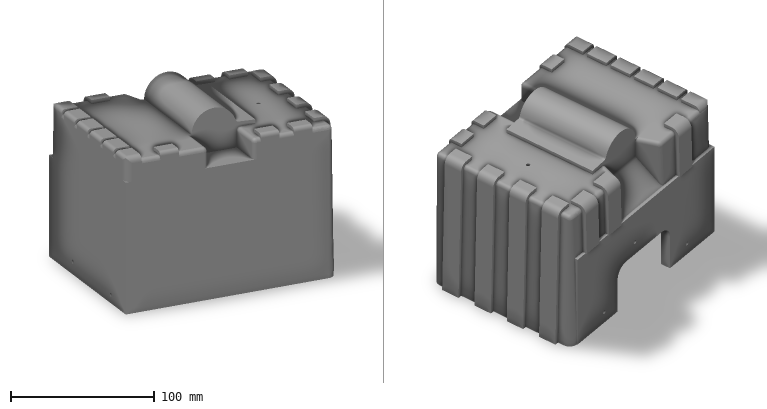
import cadquery as cq
import math

width = 122.38
length = 163.8
barrel_top = 131.74
barrel_radius = 17.5
roof_z = barrel_top - barrel_radius
draft = math.tan(math.radians(1.5))
left_inset = 0.5
front_corner_radius = 5.0
rear_corner_roof_radius = 3.2
roof_radius = 3.0

base_length = 157.2
rear_corner_foot_radius = length - base_length
ledge_z = 76.2
floor_z = 98.9

tab_thickness = 3.0
left_tab_thickness = tab_thickness + left_inset
tab_top = roof_z + tab_thickness
tab_width = 14.4
tab_root = 1.0
left_tab_reach = 13.0
left_tab_ys = (26.8, 108.0, 133.6)
right_tab_reach = 10.9
right_tab_ys = (26.8, 104.8, 130.5)
rear_tab_reach = 12.6
rear_tab_start = 12.2
rear_tab_pitch = 28.35
rear_tab_count = 4
front_strip_depth = 12.4
front_strip_height = 6.7
front_strip_end_radius = 4.6
front_gap_start = 20.1
front_gap_width = 3.6
front_gap_pitch = 20.6
front_gap_count = 5

trough_y = 81.3
barrel_start = 20.6
barrel_end = 96.2
flare = barrel_start * math.tan(math.radians(20))
ramp_top_z = 98.2
ramp_radius = 3.0
plate_end_y = 113.2
plate_end_z = tab_top + 0.2
plate_slope = math.tan(math.radians(3))
plate_fillet = 2.0

wall = 8.0
arch_width = 60.0
arch_height = 38.7
arch_radius = 10.0
screw_hole = 3.0
pin_hole = 2.8
left_holes = ((91.4, 49.6), (126.8, 9.4), (31.5, 9.4))
front_screw = (37.8, 9.5)
front_pin = (98.6, 6.4)
roof_hole = (62.8, 132.0)


def block(x0, x1, y0, y1, z0, z1):
    return cq.Workplane("XY").box(x1 - x0, y1 - y0, z1 - z0, centered=False).translate((x0, y0, z0))


def left_wall_x(z):
    """X of the drafted -X wall at height z."""
    return left_inset + draft * z


def side_profile(points, y0, y1):
    """Prism along Y from an outline of (x, z) points."""
    return cq.Workplane("XZ").polyline(points).close().extrude(y0 - y1).translate((0, y0, 0))


def end_profile(points, x0, x1):
    """Prism along X from an outline of (y, z) points."""
    return cq.Workplane("YZ").polyline(points).close().extrude(x1 - x0).translate((x0, 0, 0))


def round_edge(solid, point, radius):
    """Fillet the edge whose centre is nearest to the point."""
    return solid.edges(cq.selectors.NearestToPointSelector(point)).fillet(radius)


def body_section(z):
    """Plan outline of the body at height z, as one closed wire."""
    left = left_wall_x(z)
    rear = length - draft * z
    front_radius = front_corner_radius
    rear_radius = rear_corner_foot_radius + (rear_corner_roof_radius - rear_corner_foot_radius) * z / roof_z
    outline = cq.Workplane("XY", origin=(0, 0, z)).moveTo(left + front_radius, 0)
    outline = outline.lineTo(width - front_radius, 0).tangentArcPoint((front_radius, front_radius))
    outline = outline.lineTo(width, rear - rear_radius).tangentArcPoint((-rear_radius, rear_radius))
    outline = outline.lineTo(left + rear_radius, rear).tangentArcPoint((-rear_radius, -rear_radius))
    outline = outline.lineTo(left, front_radius).tangentArcPoint((front_radius, -front_radius))
    return outline.close().val()


def drafted_body(height):
    """Body with rounded upright corners and a sharp roof edge."""
    return cq.Workplane(cq.Solid.makeLoft([body_section(0), body_section(height)], True))


def trough_cutter():
    """Full-height passage, straight to +X and flaring towards -X."""
    half_mouth = barrel_radius + flare
    outline = [
        (0, -half_mouth),
        (barrel_start, -barrel_radius),
        (width, -barrel_radius),
        (width, barrel_radius),
        (barrel_start, barrel_radius),
        (0, half_mouth),
    ]
    return cq.Workplane("XY").polyline(outline).close().extrude(roof_z).translate((0, trough_y, 0))


def roof_halves():
    """The two parts of the body beside the trough, with rounded mouth corners and roof edges."""
    halves = drafted_body(roof_z).cut(trough_cutter())
    rounded = cq.Workplane()
    for half in halves.solids().vals():
        side = 1 if half.Center().y > trough_y else -1
        mouth_y = trough_y + side * (barrel_radius + flare)
        solid = cq.Workplane(half)
        solid = round_edge(solid, (left_wall_x(roof_z / 2), mouth_y, roof_z / 2), roof_radius)
        solid = round_edge(solid, (width, trough_y + side * barrel_radius, roof_z / 2), roof_radius)
        solid = solid.faces(">Z").edges().fillet(roof_radius)
        rounded = rounded.add(solid)
    return rounded.combine()


def base():
    """Square-cornered block, stepped up to the trough floor on the +X side."""
    left = block(0, width, 0, base_length, 0, ledge_z)
    right = block(barrel_end, width, 0, base_length, 0, floor_z)
    return left.union(right)


def trough_core():
    """Ramp, barrel support and floor that fill the lower part of the trough."""
    half_width = barrel_radius + flare
    outline = [
        (0, 0),
        (width, 0),
        (width, floor_z),
        (barrel_end, floor_z),
        (barrel_end, roof_z),
        (barrel_start, roof_z),
        (barrel_start, ramp_top_z),
        (left_wall_x(ledge_z), ledge_z),
        (0, ledge_z),
    ]
    core = side_profile(outline, trough_y - half_width, trough_y + half_width)
    return round_edge(core, (barrel_start, trough_y, ramp_top_z), ramp_radius)


def barrel():
    """Cylinder across the roof with a sloping plate on its +Y side."""
    cylinder = (
        cq.Workplane("YZ", origin=(barrel_start, trough_y, roof_z))
        .circle(barrel_radius)
        .extrude(barrel_end - barrel_start)
    )
    plate_rise = plate_slope * (plate_end_y - trough_y)
    outline = [
        (trough_y, roof_z),
        (plate_end_y, roof_z),
        (plate_end_y, plate_end_z),
        (trough_y, plate_end_z + plate_rise),
    ]
    barrel_and_plate = cylinder.union(end_profile(outline, barrel_start, barrel_end))
    seam = ((barrel_start + barrel_end) / 2, trough_y + barrel_radius, plate_end_z)
    return round_edge(barrel_and_plate, seam, plate_fillet)


def drafted_tab(foot, reach, thickness):
    """Tab over a wall that leans from the foot towards +X; starts at y = 0."""
    foot_x, foot_z = foot
    outer_top = foot_x - thickness + draft * (tab_top - foot_z)
    outline = [
        (foot_x + tab_root, foot_z),
        (foot_x - thickness, foot_z),
        (outer_top, tab_top),
        (reach, tab_top),
        (reach, roof_z - tab_root),
    ]
    tab = side_profile(outline, 0, tab_width)
    return round_edge(tab, (outer_top, tab_width / 2, tab_top), roof_radius + thickness)


def left_tabs(body):
    """Tabs over the -X wall, each ending in a short bevel below the ledge."""
    foot_x = left_wall_x(ledge_z)
    outer_x = foot_x - left_tab_thickness
    tab = drafted_tab((foot_x, ledge_z), left_tab_reach, left_tab_thickness)
    bevel = [(outer_x, ledge_z), (foot_x, ledge_z), (foot_x, ledge_z + outer_x), (0, ledge_z + outer_x)]
    tab = tab.union(side_profile(bevel, 0, tab_width))
    for y in left_tab_ys:
        body = body.union(tab.translate((0, y, 0)))
    return body


def rear_tabs(body):
    """Tabs over the +Y wall, reaching down to the underside."""
    tab = drafted_tab((0, 0), rear_tab_reach, tab_thickness)
    tab = tab.rotate((0, 0, 0), (0, 0, 1), -90).translate((0, length, 0))
    for i in range(rear_tab_count):
        body = body.union(tab.translate((rear_tab_start + i * rear_tab_pitch, 0, 0)))
    return body


def right_tabs(body):
    """Tabs on the roof edge, flush with the +X wall."""
    tab = block(width - right_tab_reach, width, 0, tab_width, roof_z - roof_radius, tab_top)
    tab = round_edge(tab, (width, tab_width / 2, tab_top), roof_radius)
    for y in right_tab_ys:
        body = body.union(tab.translate((0, y, 0)))
    return body


def front_strip():
    """Row of tabs along the -Y edge, wrapping round both front corners."""
    low = tab_top - front_strip_height
    left_x = left_wall_x(tab_top)
    strip = block(left_x, width, 0, front_strip_depth, low, tab_top)
    middle_y = front_strip_depth / 2
    ends = round_edge(strip, (left_x, middle_y, tab_top), front_strip_end_radius)
    ends = round_edge(ends, (width, middle_y, tab_top), front_strip_end_radius)
    face = round_edge(strip, (width / 2, 0, tab_top), roof_radius)
    strip = ends.intersect(face).intersect(drafted_body(tab_top))
    for i in range(front_gap_count):
        x = front_gap_start + i * front_gap_pitch
        strip = strip.cut(block(x, x + front_gap_width, 0, front_strip_depth, low, tab_top))
    return strip


def cavity():
    """Hollow open at the underside."""
    return block(wall, width - wall, wall, base_length - wall, 0, ledge_z - wall)


def archway():
    """Opening through the -X wall into the cavity."""
    start = trough_y - arch_width / 2
    arch = block(0, wall, start, start + arch_width, 0, arch_height)
    return arch.edges("|X and >Z").fillet(arch_radius)


def drilled(body):
    """Small holes through the -X wall, the -Y wall and the roof."""
    depth = wall
    for y, z in left_holes:
        body = body.cut(cq.Workplane("YZ", origin=(0, y, z)).circle(screw_hole / 2).extrude(depth))
    for (x, z), size in ((front_screw, screw_hole), (front_pin, pin_hole)):
        body = body.cut(cq.Workplane("XZ", origin=(x, 0, z)).circle(size / 2).extrude(-depth))
    x, y = roof_hole
    shaft = cq.Workplane("XY", origin=(x, y, ledge_z - wall)).circle(screw_hole / 2).extrude(roof_z)
    return body.cut(shaft)


housing = base().union(roof_halves()).union(trough_core()).union(barrel())
tabbed = right_tabs(rear_tabs(left_tabs(housing))).union(front_strip())
hollow = tabbed.cut(cavity()).cut(archway())
result = drilled(hollow)